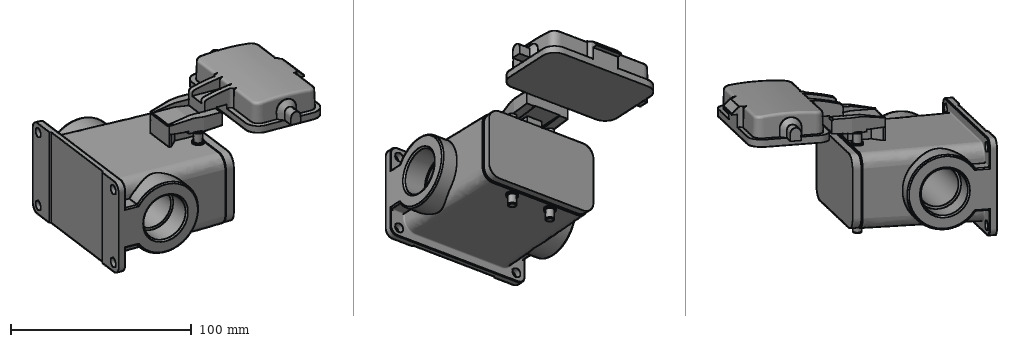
import cadquery as cq
import math


plate_width = 94.0
plate_height = 56.2
plate_thickness = 4.4
plate_corner_radius = 5.0
plate_edge_chamfer = 0.4
mount_hole_diameter = 5.5
mount_hole_x = 41.0
mount_hole_z = 22.5
relief_half_width = 29.0
relief_depth = 0.9

base_width = 75.2
base_height = 45.4
mouth_width = 73.3
mouth_height = 43.4
housing_corner_radius = 7.4
rim_width = 73.0
rim_height = 42.8
rim_start = 75.2
rim_end = 80.3
groove_depth = 0.7
foot_fillet = 0.7

entry_y = 30.0
entry_radius = 21.5
neck_half_height = 12.3
entry_edge_chamfer = 0.9
socket_radius = 13.5
socket_depth = 14.5
socket_chamfer = 1.0
bore_radius = 11.9

peg_x = 13.2
peg_y = 70.9
peg_radius = 2.5
peg_chamfer = 0.5
collar_radius = 3.4
collar_top = 22.7
peg_end = 29.0

cover_y = 115.3
cap_y = 115.6
cover_bottom = 31.3
cover_top = 49.2
flange_width = 75.0
flange_length = 46.8
flange_thickness = 4.3
flange_corner_radius = 8.2
cap_width = 68.6
cap_length = 40.5
cap_corner_radius = 5.1
cap_draft = 2.0
roof_radius = 136.1
roof_edge_fillet = 1.7
flange_top = cover_bottom + flange_thickness

arm_width = 17.3
arm_end = 77.7
arm_bottom = 38.0
arm_nose_radius = 2.4
arm_root_fillet = 1.8
arm_pocket_width = 10.0
arm_pocket_floor = 41.0
lip_end = 141.8
lip_slope_start = 137.7
lip_tip = 43.5
lip_bottom = 42.8

lug_end = 44.5
lug_radius = 3.1
lug_z = 40.0
lug_flare_radius = 6.4
lug_flare_end = 37.5

clip_width = 28.6
clip_end_width = 20.8
clip_front = 53.9
clip_back = 85.8
clip_top = 37.5
clip_front_top = 34.9
clip_slope_start = 68.2
clip_taper_start = 74.2
clip_underside = 29.6
clip_pad_front = 65.2
clip_pad_bottom = 28.4
clip_back_bottom = 29.2
clip_wall = 1.3
clip_back_chamfer = 0.9
web_top = 34.9
web_slope_start = 68.6
web_slope_end = 76.5
web_slope_drop = 1.1
web_edge_chamfer = 0.5
leg_flare_start = 60.5

foot_z = 20.5


def block(width, y_min, y_max, z_min, z_max):
    """Box centred on X = 0."""
    return (
        cq.Workplane("XY", origin=(0, y_min, z_min))
        .box(width, y_max - y_min, z_max - z_min, centered=(True, False, False))
    )


def side_profile(points, width):
    """Closed (y, z) outline extruded symmetrically about X = 0."""
    return cq.Workplane("YZ").polyline(points).close().extrude(width / 2, both=True)


def mirrored_plan(right_half, z_min, z_max):
    """Prism whose (x, y) outline is the given +X half and its mirror image."""
    left_half = [(-x, y) for x, y in reversed(right_half)]
    return (
        cq.Workplane("XY", origin=(0, 0, z_min))
        .polyline(right_half + left_half)
        .close()
        .extrude(z_max - z_min)
    )


def rounded_section(width, height, radius):
    return cq.Sketch().rect(width, height).vertices().fillet(radius)


def along_y(y):
    """Workplane at the given Y whose normal points along +Y."""
    return cq.Workplane("XZ", origin=(0, y, 0)).transformed(rotate=(180, 0, 0))


def ruled_body(start_section, end_section, start, end):
    """Straight-sided transition between two sections standing across Y."""
    end_section = end_section.moved(cq.Location(cq.Vector(0, 0, end - start)))
    return along_y(start).placeSketch(start_section, end_section).loft(ruled=True)


def make_plate():
    outline = rounded_section(plate_width, plate_height, plate_corner_radius)
    plate = along_y(0).placeSketch(outline).extrude(plate_thickness).faces(">Y").chamfer(plate_edge_chamfer)
    relief = mirrored_plan(
        [
            (relief_half_width, 0),
            (relief_half_width - relief_depth, relief_depth),
        ],
        -plate_height / 2,
        plate_height / 2,
    )
    return plate.cut(relief)


def make_mount_holes():
    return (
        along_y(0)
        .rect(2 * mount_hole_x, 2 * mount_hole_z, forConstruction=True)
        .vertices()
        .circle(mount_hole_diameter / 2)
        .extrude(plate_thickness)
    )


def make_housing():
    """Tapered body whose chamfered mouth leaves a shallow groove behind the rim."""
    groove_start = rim_start - groove_depth
    shoulder_width = mouth_width - 2 * groove_depth
    shoulder_height = mouth_height - 2 * groove_depth
    base = rounded_section(base_width, base_height, housing_corner_radius)
    mouth = rounded_section(mouth_width, mouth_height, housing_corner_radius)
    shoulder = rounded_section(shoulder_width, shoulder_height, housing_corner_radius - groove_depth)
    rim = rounded_section(rim_width, rim_height, housing_corner_radius)

    body = ruled_body(base, mouth, plate_thickness, groove_start)
    groove = ruled_body(mouth, shoulder, groove_start, rim_start)
    return body.union(groove).union(along_y(rim_start).placeSketch(rim).extrude(rim_end - rim_start))


def make_entries():
    neck_start = plate_thickness / 3
    barrel = cq.Workplane("YZ").center(entry_y, 0).circle(entry_radius).extrude(plate_width / 2, both=True)
    neck = block(plate_width, neck_start, entry_y, -neck_half_height, neck_half_height)
    return barrel.union(neck).faces("<X or >X").edges().chamfer(entry_edge_chamfer)


def make_entry_bore():
    half = plate_width / 2
    shoulder = half - socket_depth
    mouth_radius = socket_radius + socket_chamfer
    profile = [
        (0, -half),
        (mouth_radius, -half),
        (socket_radius, socket_chamfer - half),
        (socket_radius, -shoulder),
        (bore_radius, -shoulder),
        (bore_radius, shoulder),
        (socket_radius, shoulder),
        (socket_radius, half - socket_chamfer),
        (mouth_radius, half),
        (0, half),
    ]
    spindle = cq.Workplane("XY").polyline(profile).close().revolve(360, (0, 0, 0), (0, 1, 0))
    return spindle.rotate((0, 0, 0), (0, 0, 1), -90).translate((0, entry_y, 0))


def make_pegs():
    upper = (
        cq.Workplane("XY", origin=(0, peg_y, foot_z))
        .pushPoints([(-peg_x, 0), (peg_x, 0)])
        .circle(peg_radius)
        .extrude(peg_end - foot_z)
        .faces(">Z")
        .chamfer(peg_chamfer)
    )
    collars = (
        cq.Workplane("XY", origin=(0, peg_y, foot_z))
        .pushPoints([(-peg_x, 0), (peg_x, 0)])
        .circle(collar_radius)
        .extrude(collar_top - foot_z)
    )
    upper = upper.union(collars)
    return upper.union(upper.mirror("XY"))


def make_roof_envelope():
    """Large cylinder along X whose crown is the gently curved cover roof."""
    return (
        cq.Workplane("YZ")
        .center(cover_y, cover_top - roof_radius)
        .circle(roof_radius)
        .extrude(plate_width / 2, both=True)
    )


def make_cap(roof):
    return (
        cq.Workplane("XY", origin=(0, cap_y, flange_top))
        .placeSketch(rounded_section(cap_width, cap_length, cap_corner_radius))
        .extrude(cover_top - flange_top, taper=cap_draft)
        .intersect(roof)
        .faces(">Z")
        .edges()
        .fillet(roof_edge_fillet)
    )


def make_tongue(tip, roof):
    """Full-height tongue from the cap to the given Y, flared by concave fillets where it leaves the cap."""
    outward = math.copysign(1, tip - cap_y)
    wall = cap_y + outward * cap_length / 2
    flare_end = wall + outward * arm_root_fillet
    flare_middle = wall + outward * arm_root_fillet * (1 - math.sqrt(0.5))
    half = arm_width / 2
    wide = half + arm_root_fillet
    middle = half + arm_root_fillet * (1 - math.sqrt(0.5))
    return (
        cq.Workplane("XY", origin=(0, 0, flange_top))
        .moveTo(-half, tip)
        .lineTo(-half, flare_end)
        .threePointArc((-middle, flare_middle), (-wide, wall))
        .lineTo(-wide, cap_y)
        .lineTo(wide, cap_y)
        .lineTo(wide, wall)
        .threePointArc((middle, flare_middle), (half, flare_end))
        .lineTo(half, tip)
        .close()
        .extrude(cover_top - flange_top)
        .intersect(roof)
    )


def make_arm(roof):
    arm = make_tongue(arm_end, roof).edges("|X").edges("<Y").edges(">Z").fillet(arm_nose_radius)
    underside = block(plate_width, arm_end, cover_y - flange_length / 2, flange_top, arm_bottom)
    pocket = block(arm_pocket_width, arm_end, cap_y, arm_pocket_floor, cover_top)
    hinge_root = block(arm_width, arm_end, clip_back, clip_underside, arm_bottom)
    return arm.cut(underside).cut(pocket).union(hinge_root)


def make_lip(roof):
    flange_edge = cover_y + flange_length / 2
    roof_rise = cover_top - roof_radius + math.sqrt(roof_radius**2 - (lip_slope_start - cover_y) ** 2)
    profile = side_profile(
        [
            (cap_y, flange_top),
            (flange_edge, flange_top),
            (flange_edge, lip_bottom),
            (lip_end, lip_bottom),
            (lip_end, lip_tip),
            (lip_slope_start, roof_rise),
            (lip_slope_start, cover_top),
            (cap_y, cover_top),
        ],
        plate_width,
    )
    return make_tongue(lip_end, roof).intersect(profile)


def arch_wire(plane, radius):
    """Round-topped outline standing on the flange."""
    drop = flange_top - lug_z
    return (
        plane.moveTo(-radius, drop)
        .lineTo(-radius, 0)
        .threePointArc((0, radius), (radius, 0))
        .lineTo(radius, drop)
        .close()
    )


def make_lugs():
    flare_start = lug_flare_end - (lug_flare_radius - lug_radius)
    bar = arch_wire(cq.Workplane("YZ", origin=(0, cover_y, lug_z)), lug_radius).extrude(lug_end)
    root = arch_wire(cq.Workplane("YZ", origin=(0, cover_y, lug_z)), lug_flare_radius).extrude(flare_start)
    flare = arch_wire(cq.Workplane("YZ", origin=(flare_start, cover_y, lug_z)), lug_flare_radius)
    flare = arch_wire(flare.workplane(offset=lug_flare_end - flare_start), lug_radius).loft(ruled=True)
    lug = bar.union(root).union(flare)
    return lug.union(lug.mirror("YZ"))


def make_cover():
    roof = make_roof_envelope()
    flange = (
        cq.Workplane("XY", origin=(0, cover_y, cover_bottom))
        .placeSketch(rounded_section(flange_width, flange_length, flange_corner_radius))
        .extrude(flange_thickness)
    )
    cover = make_cap(roof).union(make_arm(roof)).union(make_lip(roof))
    return cover.union(flange).union(make_lugs())


def make_clip():
    cheeks = side_profile(
        [
            (clip_back, clip_top - clip_back_chamfer),
            (clip_back - clip_back_chamfer, clip_top),
            (clip_slope_start, clip_top),
            (clip_front, clip_front_top),
            (clip_front, clip_underside),
            (clip_pad_front, clip_underside),
            (clip_pad_front, clip_pad_bottom),
            (clip_taper_start, clip_pad_bottom),
            (clip_back, clip_back_bottom),
        ],
        clip_width,
    )
    plan = mirrored_plan(
        [
            (clip_width / 2, clip_back),
            (clip_width / 2, clip_taper_start),
            (clip_end_width / 2, clip_front),
        ],
        0,
        cover_top,
    )
    channel = block(arm_width, clip_front, clip_back, clip_pad_bottom, cover_top)
    web = side_profile(
        [
            (clip_front, clip_underside),
            (clip_front, web_top - web_edge_chamfer),
            (clip_front + web_edge_chamfer, web_top),
            (web_slope_start, web_top),
            (web_slope_end, web_top - web_slope_drop),
            (arm_end, web_top - web_slope_drop),
            (arm_end, clip_underside),
        ],
        arm_width,
    )
    leg = mirrored_plan(
        [
            (arm_pocket_width / 2, clip_taper_start),
            (arm_pocket_width / 2, leg_flare_start),
            (clip_end_width / 2, clip_front + clip_wall),
            (clip_end_width / 2, clip_front),
        ],
        foot_z,
        clip_underside,
    )
    return cheeks.intersect(plan).cut(channel).union(web).union(leg)


def soften_foot(base):
    """Fillet where the housing and the entry necks rise from the plate."""
    margin = 0.1
    reach = mount_hole_x + mount_hole_diameter / 2
    foot = cq.selectors.BoxSelector(
        (-reach, plate_thickness - margin, -base_height / 2 - margin),
        (reach, plate_thickness + margin, base_height / 2 + margin),
    )
    return base.edges(foot).fillet(foot_fillet)


lower_part = soften_foot(make_plate().union(make_housing()).union(make_entries()))
lower_part = lower_part.union(make_pegs()).cut(make_entry_bore()).cut(make_mount_holes())
result = lower_part.union(make_clip()).union(make_cover())